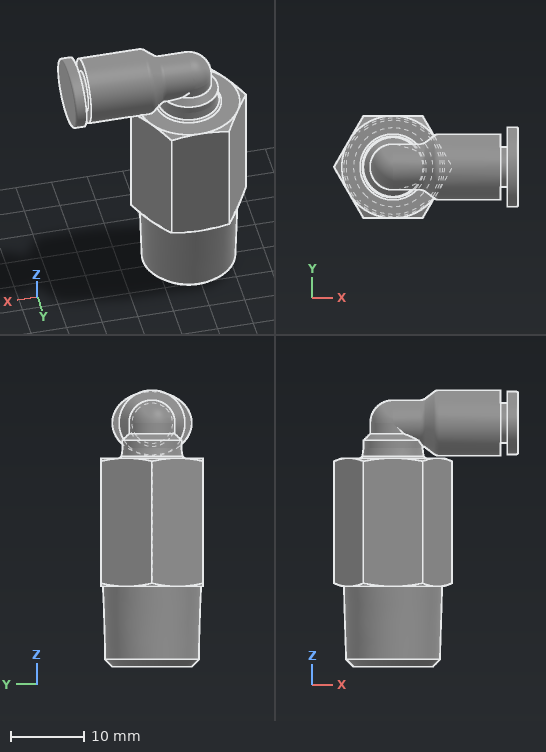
import cadquery as cq
import math

total_height = 37.8
hex_across_flats = 14.0
collar_end_x = 17.1

stem_length = 11.0
stem_top_radius = 6.73
stem_tip_radius = 6.43
stem_chamfer = 1.02

hex_height = 17.5
hex_corner_drop = 0.4
hex_top_z = stem_length + hex_height
hex_corner_radius = hex_across_flats / math.sqrt(3)

seat_radius = 4.5
seat_height = 0.25
neck_base_radius = 4.2
neck_radius = 4.05
neck_taper_height = 1.15
neck_straight_height = 1.02

elbow_radius = 3.15
socket_radius = 4.5
socket_axis_z = total_height - socket_radius
flare_start_x = 3.78
flare_end_x = 6.25
flare_blend_length = 0.6
flare_angle = math.radians(37.5)
socket_end_x = 14.7

sleeve_radius = 2.75
collar_start_x = 15.57
collar_half_width = 5.45
collar_half_height = 4.3
collar_fillet = 0.25


def make_stem():
    profile = (
        cq.Workplane("XZ")
        .lineTo(stem_tip_radius - stem_chamfer, 0)
        .lineTo(stem_tip_radius, stem_chamfer)
        .lineTo(stem_top_radius, stem_length)
        .lineTo(0, stem_length)
        .close()
    )
    return profile.revolve(360, (0, 0, 0), (0, 1, 0))


def make_hex_body():
    """Hexagon with two corners on the X axis and both ends of its corners turned to a cone."""
    prism = (
        cq.Workplane("XY", origin=(0, 0, stem_length))
        .polygon(6, 2 * hex_corner_radius)
        .extrude(hex_height)
    )
    flat_radius = hex_across_flats / 2
    turned = (
        cq.Workplane("XZ")
        .moveTo(0, stem_length)
        .lineTo(flat_radius, stem_length)
        .lineTo(hex_corner_radius, stem_length + hex_corner_drop)
        .lineTo(hex_corner_radius, hex_top_z - hex_corner_drop)
        .lineTo(flat_radius, hex_top_z)
        .lineTo(0, hex_top_z)
        .close()
        .revolve(360, (0, 0, 0), (0, 1, 0))
    )
    return prism.intersect(turned)


def make_neck():
    """Stepped neck that narrows at 45 degrees into the upright leg of the elbow."""
    taper_start_z = hex_top_z + seat_height
    straight_start_z = taper_start_z + neck_taper_height
    shoulder_z = straight_start_z + neck_straight_height
    profile = (
        cq.Workplane("XZ")
        .moveTo(0, hex_top_z)
        .lineTo(seat_radius, hex_top_z)
        .lineTo(neck_base_radius, taper_start_z)
        .lineTo(neck_radius, straight_start_z)
        .lineTo(neck_radius, shoulder_z)
        .lineTo(elbow_radius, shoulder_z + neck_radius - elbow_radius)
        .lineTo(elbow_radius, socket_axis_z)
        .lineTo(0, socket_axis_z)
        .close()
    )
    return profile.revolve(360, (0, 0, 0), (0, 1, 0))


def make_elbow_ball():
    return cq.Workplane("XY", origin=(0, 0, socket_axis_z)).sphere(elbow_radius)


def make_socket():
    """Level leg of the elbow, flaring through two tangent arcs into the socket and sleeve."""
    blend_rise = flare_blend_length * math.tan(flare_angle / 2)
    profile = (
        cq.Workplane("XZ", origin=(0, 0, socket_axis_z))
        .lineTo(0, elbow_radius)
        .lineTo(flare_start_x, elbow_radius)
        .tangentArcPoint((flare_blend_length, blend_rise))
        .lineTo(flare_end_x - flare_blend_length, socket_radius - blend_rise)
        .tangentArcPoint((flare_blend_length, blend_rise))
        .lineTo(socket_end_x, socket_radius)
        .lineTo(socket_end_x, sleeve_radius)
        .lineTo(collar_start_x, sleeve_radius)
        .lineTo(collar_start_x, 0)
        .close()
    )
    return profile.revolve(360, (0, 0, 0), (1, 0, 0))


def make_collar():
    return (
        cq.Workplane("YZ", origin=(collar_start_x, 0, socket_axis_z))
        .ellipse(collar_half_width, collar_half_height)
        .extrude(collar_end_x - collar_start_x)
        .faces(">X")
        .edges()
        .fillet(collar_fillet)
    )


result = (
    make_stem()
    .union(make_hex_body())
    .union(make_neck())
    .union(make_elbow_ball())
    .union(make_socket())
    .union(make_collar())
)